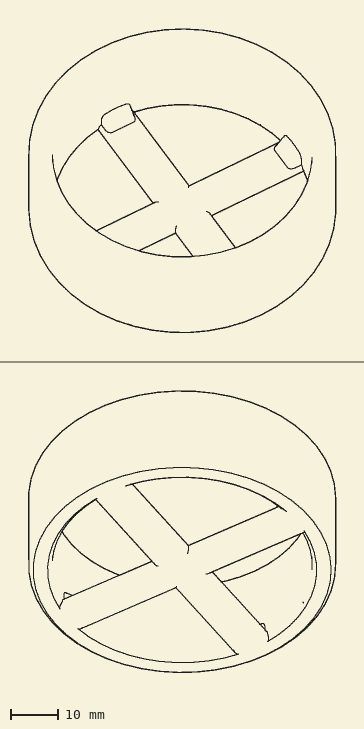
import cadquery as cq
import math

outer_radius = 32.5
inner_radius = 27.5
height = 22.0
rim_fillet = 1.0
base_chamfer = 1.0
chamfer_angle = 45.0
base_blend = 1.3

bar_width = 8.6
bar_thickness = 2.0
bar_fillet = 0.7

stop_width = bar_width - 2 * bar_fillet
stop_foot_radius = 24.4
stop_slope = 45.0
stop_fillet = 1.0
stop_count = 4

embed_radius = (inner_radius + outer_radius) / 2


def make_ring():
    turn = math.radians(chamfer_angle)
    blend_length = base_blend * math.tan(turn / 2)
    blend_leg = blend_length * math.sin(turn)
    blend_sag = base_blend * (1 - math.cos(turn / 2))
    blend_drop = base_blend * math.sin(turn / 2)
    blend_top = base_chamfer + blend_length
    rim_mid = rim_fillet * (1 - math.sqrt(0.5))
    section = (
        cq.Workplane("XZ")
        .moveTo(inner_radius + base_chamfer, 0)
        .lineTo(outer_radius - base_chamfer, 0)
        .lineTo(outer_radius - blend_leg, base_chamfer - blend_leg)
        .threePointArc((outer_radius - blend_sag, blend_top - blend_drop), (outer_radius, blend_top))
        .lineTo(outer_radius, height - rim_fillet)
        .threePointArc((outer_radius - rim_mid, height - rim_mid), (outer_radius - rim_fillet, height))
        .lineTo(inner_radius + rim_fillet, height)
        .threePointArc((inner_radius + rim_mid, height - rim_mid), (inner_radius, height - rim_fillet))
        .lineTo(inner_radius, blend_top)
        .threePointArc((inner_radius + blend_sag, blend_top - blend_drop),
                       (inner_radius + blend_leg, base_chamfer - blend_leg))
        .close()
    )
    return section.revolve(360, (0, 0, 0), (0, 1, 0))


def make_cross():
    length = 2 * embed_radius
    along_x = cq.Workplane("XY").rect(length, bar_width).extrude(bar_thickness)
    along_y = cq.Workplane("XY").rect(bar_width, length).extrude(bar_thickness)
    cross = along_x.union(along_y)
    long_edges = cross.faces("|Z").edges("not (>X or <X or >Y or <Y)")
    return long_edges.fillet(bar_fillet)


def make_stop():
    run = embed_radius - stop_foot_radius
    rise = run * math.tan(math.radians(stop_slope))
    wedge = (
        cq.Workplane("XZ")
        .moveTo(stop_foot_radius, bar_thickness)
        .lineTo(embed_radius, bar_thickness)
        .lineTo(embed_radius, bar_thickness + rise)
        .close()
        .extrude(stop_width / 2, both=True)
    )
    return wedge.edges("not (|X or |Y or |Z)").fillet(stop_fillet)


result = make_ring().union(make_cross())
stop = make_stop()
for index in range(stop_count):
    result = result.union(stop.rotate((0, 0, 0), (0, 0, 1), index * 360 / stop_count))